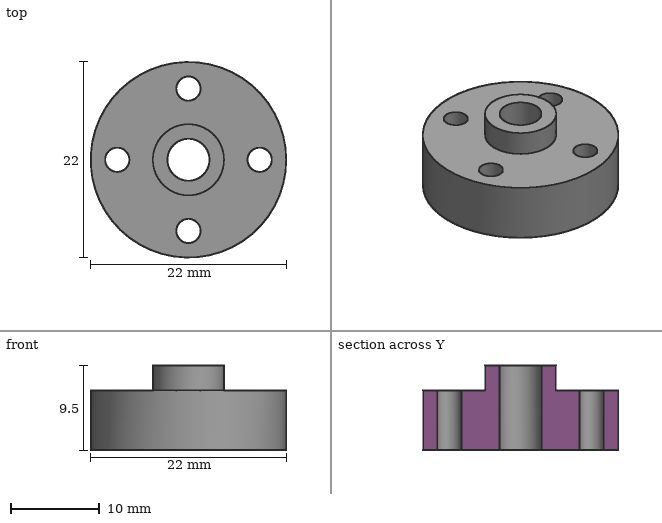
import cadquery as cq

flange_diameter = 22.0
flange_height = 6.7
overall_height = 9.5
hub_diameter = 8.0
bore_diameter = 4.7
bolt_hole_diameter = 2.7
bolt_circle_diameter = 16.0
bolt_hole_count = 4


def make_body():
    """Round flange with its base on Z = 0 and a concentric hub on top."""
    flange = cq.Workplane("XY").circle(flange_diameter / 2).extrude(flange_height)
    hub = cq.Workplane("XY").circle(hub_diameter / 2).extrude(overall_height)
    return flange.union(hub)


def make_bore():
    """Cutter for the central through bore."""
    return cq.Workplane("XY").circle(bore_diameter / 2).extrude(overall_height)


def make_bolt_holes():
    """Cutter for the through holes, evenly spaced from the +X axis."""
    return (
        cq.Workplane("XY")
        .polarArray(bolt_circle_diameter / 2, 0, 360, bolt_hole_count)
        .circle(bolt_hole_diameter / 2)
        .extrude(flange_height)
    )


result = make_body().cut(make_bore()).cut(make_bolt_holes())